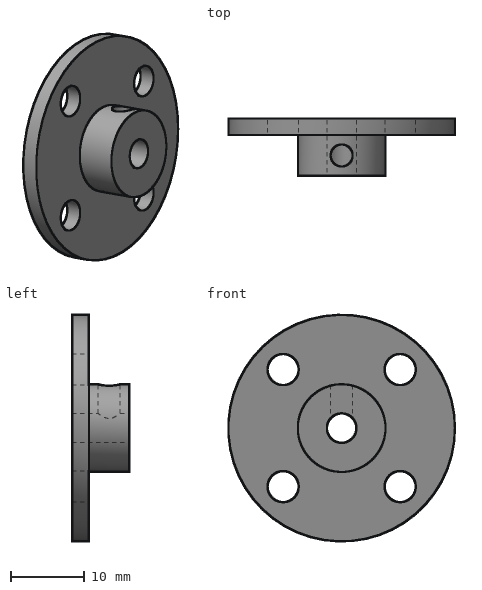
import cadquery as cq

flange_diameter = 31.0
flange_thickness = 2.3

total_depth = 7.85
hub_diameter = 12.0
hub_length = total_depth - flange_thickness

bore_diameter = 4.0
mount_hole_diameter = 4.22
mount_hole_offset = 8.0
set_screw_diameter = 3.0
set_screw_y = -(flange_thickness + hub_length / 2)

flange = cq.Workplane("XZ").circle(flange_diameter / 2).extrude(flange_thickness)
hub = cq.Workplane("XZ").circle(hub_diameter / 2).extrude(total_depth)

bore = cq.Workplane("XZ").circle(bore_diameter / 2).extrude(total_depth)

mount_holes = (
    cq.Workplane("XZ")
    .rect(2 * mount_hole_offset, 2 * mount_hole_offset, forConstruction=True)
    .vertices()
    .circle(mount_hole_diameter / 2)
    .extrude(flange_thickness)
)

set_screw_hole = (
    cq.Workplane("XY")
    .center(0, set_screw_y)
    .circle(set_screw_diameter / 2)
    .extrude(hub_diameter / 2)
)

result = flange.union(hub).cut(bore).cut(mount_holes).cut(set_screw_hole)